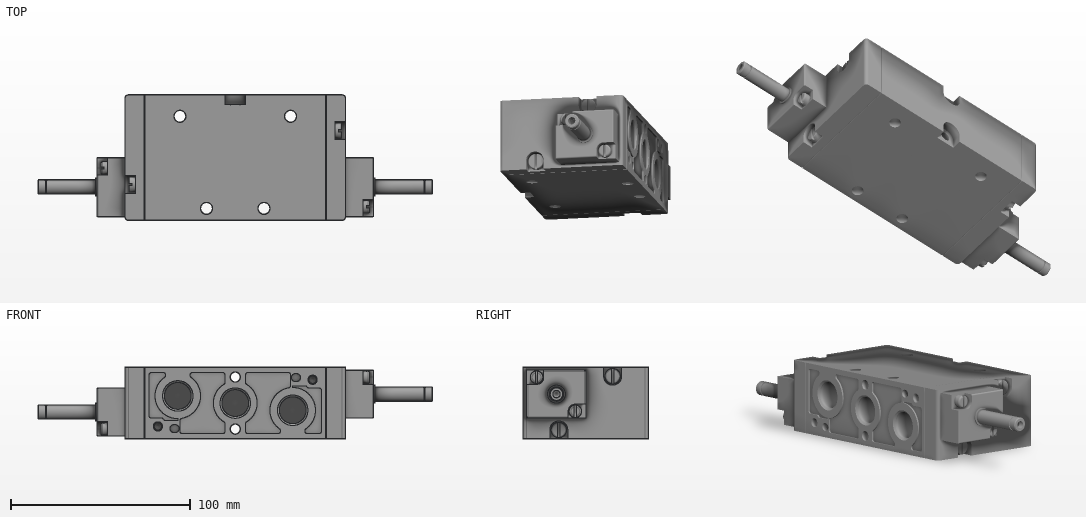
import cadquery as cq
import math


LENGTH = 220.0
DEPTH = 70.0
HEIGHT = 40.0
FRONT = -DEPTH / 2
BACK = DEPTH / 2
TOP = HEIGHT / 2

BODY_HALF = 61.5
BODY_CORNER_RADIUS = 2.0
JOINT_X = 50.45
JOINT_WIDTH = 0.5
JOINT_DEPTH = 0.4

PORT_DIAMETER = 14.95
PORT_DEPTH = 20.0
PORT_CHAMFER = 1.0
PORT_X = 32.0
PORT_Z = 4.0
PORT_CENTRES = [(-PORT_X, PORT_Z), (0.0, 0.0), (PORT_X, -PORT_Z)]

LAND_RADII = [12.7, 12.2, 12.7]
RECESS_DEPTH = 1.0
RECESS_HALF_HEIGHT = 17.0
RECESS_CORNER_RADIUS = 1.3
SELECT_MARGIN = 0.5
END_RECESS_OUTER_X = -48.0
END_RECESS_INNER_X = -38.8
END_RECESS_BOTTOM_Z = -8.4
END_RECESS_STEP_X = (-40.6, -39.4)
END_RECESS_TIP_Z = -9.6
MID_RECESS_TOP_X = -25.2
MID_RECESS_BOTTOM_X = -30.8
MID_RECESS_INNER_X = -5.7

TAPPED_HOLE_DIAMETER = 4.13
TAPPED_HOLE_DEPTH = 10.0
TAPPED_HOLE_CHAMFER = 0.5
TAPPED_HOLE_CENTRE = (-43.1, -13.0)
DRILL_POINT_ANGLE = 118.0
KEY_WIDTH = 4.4
KEY_LENGTH = 5.1
KEY_DEPTH = 3.0
KEY_CENTRE = (-33.8, -14.2)

CROSS_HOLE_DIAMETER = 5.5
CROSS_HOLE_Z = 14.5
CROSS_NOTCH_WIDTH = 11.5
CROSS_NOTCH_DEPTH = 5.5
MOUNT_HOLE_DIAMETER = 6.5
MOUNT_BACK_X = 30.8
MOUNT_BACK_Y = 23.0
MOUNT_FRONT_X = 16.0
MOUNT_FRONT_Y = -28.3

COIL_END = 77.1
COIL_BACK_Y = 0.0
COIL_FRONT_Y = -33.0
COIL_TOP_Z = 8.4
COIL_BOTTOM_Z = -18.4
COIL_EDGE_RADIUS = 0.75

TUBE_Y = -16.3
TUBE_Z = (COIL_TOP_Z + COIL_BOTTOM_Z) / 2
TUBE_DIAMETER = 8.0
TUBE_CHAMFER = 0.5
TUBE_GROOVE_DIAMETER = 7.0
TUBE_GROOVE_WIDTH = 0.8
TUBE_GROOVE_FROM_TIP = 4.2
TUBE_BORE_DIAMETER = 4.13
TUBE_BORE_DEPTH = 5.0
COLLAR_DIAMETER = 10.0
COLLAR_LENGTH = 0.8

POCKET_DEPTH = 6.0
HEAD_HEIGHT = 3.8
SLOT_WIDTH = 1.3
SLOT_DEPTH = 1.7
CAP_POCKET_DIAMETER = 10.0
CAP_HEAD_DIAMETER = 8.57
CAP_HEAD_EDGE_RADIUS = 0.5
CAP_SCREW_OFFSET = TOP - CAP_POCKET_DIAMETER / 2
CAP_SCREWS = [(-CAP_SCREW_OFFSET, CAP_SCREW_OFFSET), (CAP_SCREW_OFFSET, -CAP_SCREW_OFFSET)]
COIL_POCKET_DIAMETER = 8.0
COIL_HEAD_DIAMETER = 7.0
COIL_HEAD_EDGE_RADIUS = 1.0
COIL_SCREW_Y = (-5.8, -27.4)
COIL_SCREW_Z = (4.6, -14.4)


def box(x0, x1, y0, y1, z0, z1):
    """Box between two corners; each pair may be given in either order."""
    size = (abs(x1 - x0), abs(y1 - y0), abs(z1 - z0))
    return cq.Workplane("XY").box(*size).translate(((x0 + x1) / 2, (y0 + y1) / 2, (z0 + z1) / 2))


def rod_x(x0, length, y, z, diameter):
    """Cylinder running from x0 towards +X."""
    return cq.Workplane("YZ", origin=(x0, y, z)).circle(diameter / 2).extrude(length)


def rod_y(x, z, diameter, depth):
    """Cylinder running from the front face into the body."""
    return cq.Workplane("XZ", origin=(x, FRONT, z)).circle(diameter / 2).extrude(-depth)


def chamfered_mouth(x, z, diameter, chamfer):
    """Cone that chamfers the mouth of a hole in the front face by 45 degrees."""
    radius = diameter / 2
    return cq.Solid.makeCone(radius + chamfer, radius, chamfer, cq.Vector(x, FRONT, z), cq.Vector(0, 1, 0))


def drill_point(origin, diameter, direction):
    """Cone at the bottom of a drilled hole, pointing in the given direction."""
    height = diameter / 2 / math.tan(math.radians(DRILL_POINT_ANGLE / 2))
    return cq.Solid.makeCone(diameter / 2, 0, height, cq.Vector(*origin), cq.Vector(*direction))


def half_turn(shape):
    """Copy turned half a turn about the Y axis."""
    return shape.rotate((0, 0, 0), (0, 1, 0), 180)


def make_body():
    """Block with rounded upright corners and a shallow joint groove around it at each end cap."""
    body = box(-BODY_HALF, BODY_HALF, FRONT, BACK, -TOP, TOP)
    body = body.edges("|Z").fillet(BODY_CORNER_RADIUS)
    edge_y = DEPTH / 2 - JOINT_DEPTH
    edge_z = TOP - JOINT_DEPTH
    core = box(-BODY_HALF, BODY_HALF, -edge_y, edge_y, -edge_z, edge_z)
    for x in (-JOINT_X, JOINT_X):
        ring = box(x - JOINT_WIDTH / 2, x + JOINT_WIDTH / 2, FRONT, BACK, -TOP, TOP).cut(core)
        body = body.cut(ring)
    return body


def make_port(x, z):
    """Port bore with a chamfered mouth."""
    mouth = chamfered_mouth(x, z, PORT_DIAMETER, PORT_CHAMFER)
    return rod_y(x, z, PORT_DIAMETER, PORT_DEPTH).union(mouth)


def make_recess(points):
    """Shallow sharp-cornered recess that leaves the round port lands standing."""
    recess = cq.Workplane("XZ", origin=(0, FRONT, 0)).polyline(points).close().extrude(-RECESS_DEPTH)
    for (x, z), radius in zip(PORT_CENTRES, LAND_RADII):
        recess = recess.cut(rod_y(x, z, 2 * radius, RECESS_DEPTH))
    return recess


def make_end_recess():
    """Recess around the outer side of an end port, with its narrow tip left sharp."""
    step_outer_x, step_inner_x = END_RECESS_STEP_X
    recess = make_recess([
        (END_RECESS_OUTER_X, RECESS_HALF_HEIGHT),
        (END_RECESS_INNER_X, RECESS_HALF_HEIGHT),
        (END_RECESS_INNER_X, PORT_Z),
        (-PORT_X, PORT_Z),
        (-PORT_X, END_RECESS_TIP_Z),
        (step_inner_x, END_RECESS_TIP_Z),
        (step_outer_x, END_RECESS_BOTTOM_Z),
        (END_RECESS_OUTER_X, END_RECESS_BOTTOM_Z),
    ])
    wide_part = cq.selectors.BoxSelector(
        (END_RECESS_OUTER_X - SELECT_MARGIN, FRONT, PORT_Z),
        (END_RECESS_INNER_X + SELECT_MARGIN, FRONT + RECESS_DEPTH, RECESS_HALF_HEIGHT + SELECT_MARGIN),
    )
    outer_corners = recess.edges("|Y and <X")
    return recess.edges("|Y").edges(wide_part).add(outer_corners).fillet(RECESS_CORNER_RADIUS)


def make_middle_recess():
    """Recess between an end port and the middle port."""
    recess = make_recess([
        (MID_RECESS_TOP_X, RECESS_HALF_HEIGHT),
        (MID_RECESS_INNER_X, RECESS_HALF_HEIGHT),
        (MID_RECESS_INNER_X, -RECESS_HALF_HEIGHT),
        (MID_RECESS_BOTTOM_X, -RECESS_HALF_HEIGHT),
        (MID_RECESS_BOTTOM_X, PORT_Z),
        (MID_RECESS_TOP_X, PORT_Z),
    ])
    return recess.edges("|Y").fillet(RECESS_CORNER_RADIUS)


def make_tapped_hole():
    """Chamfered blind hole with a drill point."""
    x, z = TAPPED_HOLE_CENTRE
    mouth = chamfered_mouth(x, z, TAPPED_HOLE_DIAMETER, TAPPED_HOLE_CHAMFER)
    point = drill_point((x, FRONT + TAPPED_HOLE_DEPTH, z), TAPPED_HOLE_DIAMETER, (0, 1, 0))
    return rod_y(x, z, TAPPED_HOLE_DIAMETER, TAPPED_HOLE_DEPTH).union(mouth).union(point)


def make_key_slot():
    """Short blind slot with round ends."""
    x, z = KEY_CENTRE
    return cq.Workplane("XZ", origin=(x, FRONT, z)).slot2D(KEY_LENGTH, KEY_WIDTH).extrude(-KEY_DEPTH)


def make_cross_hole():
    """Hole through the depth, ending in a U-shaped notch open to the top and the back."""
    hole = rod_y(0, CROSS_HOLE_Z, CROSS_HOLE_DIAMETER, DEPTH)
    notch_floor_y = BACK - CROSS_NOTCH_DEPTH
    seat = cq.Workplane("XZ", origin=(0, BACK, CROSS_HOLE_Z)).circle(CROSS_NOTCH_WIDTH / 2)
    seat = seat.extrude(CROSS_NOTCH_DEPTH)
    opening = box(-CROSS_NOTCH_WIDTH / 2, CROSS_NOTCH_WIDTH / 2, notch_floor_y, BACK, CROSS_HOLE_Z, TOP)
    return hole.union(seat).union(opening)


def make_mount_holes():
    """Four mounting holes through the height."""
    points = []
    for side in (-1, 1):
        points.append((side * MOUNT_BACK_X, MOUNT_BACK_Y))
        points.append((side * MOUNT_FRONT_X, MOUNT_FRONT_Y))
    holes = cq.Workplane("XY", origin=(0, 0, -TOP)).pushPoints(points)
    return holes.circle(MOUNT_HOLE_DIAMETER / 2).extrude(HEIGHT)


def make_coil():
    """Solenoid housing on the left end, reaching to the body face."""
    coil = box(-COIL_END, -BODY_HALF, COIL_FRONT_Y, COIL_BACK_Y, COIL_BOTTOM_Z, COIL_TOP_Z)
    return coil.faces("<X").edges().fillet(COIL_EDGE_RADIUS)


def make_tube():
    """Plunger tube with a collar at its foot and a groove and a bore at its tip."""
    tip_x = -LENGTH / 2
    tube = rod_x(tip_x, LENGTH / 2 - COIL_END, TUBE_Y, TUBE_Z, TUBE_DIAMETER)
    tube = tube.faces("<X").chamfer(TUBE_CHAMFER)
    groove_x = tip_x + TUBE_GROOVE_FROM_TIP
    groove = rod_x(groove_x, TUBE_GROOVE_WIDTH, TUBE_Y, TUBE_Z, TUBE_DIAMETER)
    groove = groove.cut(rod_x(groove_x, TUBE_GROOVE_WIDTH, TUBE_Y, TUBE_Z, TUBE_GROOVE_DIAMETER))
    bore = rod_x(tip_x, TUBE_BORE_DEPTH, TUBE_Y, TUBE_Z, TUBE_BORE_DIAMETER)
    point = drill_point((tip_x + TUBE_BORE_DEPTH, TUBE_Y, TUBE_Z), TUBE_BORE_DIAMETER, (1, 0, 0))
    collar = rod_x(-COIL_END - COLLAR_LENGTH, COLLAR_LENGTH, TUBE_Y, TUBE_Z, COLLAR_DIAMETER)
    return tube.cut(groove).cut(bore).cut(point).union(collar)


def make_screw(floor_x, y, z, diameter, edge_radius):
    """Round screw head with a vertical slot, standing on a pocket floor and facing -X."""
    top_x = floor_x - HEAD_HEIGHT
    head = rod_x(top_x, HEAD_HEIGHT, y, z, diameter).faces("<X").edges().fillet(edge_radius)
    slot = box(
        top_x, top_x + SLOT_DEPTH, y - SLOT_WIDTH / 2, y + SLOT_WIDTH / 2, z - diameter / 2, z + diameter / 2
    )
    return head.cut(slot)


def add_cap_screw(valve, y, z):
    """Screw in a U-shaped pocket that opens to the nearer of the top and bottom faces."""
    radius = CAP_POCKET_DIAMETER / 2
    floor_x = -BODY_HALF + POCKET_DEPTH
    open_z = math.copysign(TOP, z)
    pocket = rod_x(-BODY_HALF, POCKET_DEPTH, y, z, CAP_POCKET_DIAMETER)
    pocket = pocket.union(box(-BODY_HALF, floor_x, y - radius, y + radius, z, open_z))
    return valve.cut(pocket).union(make_screw(floor_x, y, z, CAP_HEAD_DIAMETER, CAP_HEAD_EDGE_RADIUS))


def add_coil_screw(valve, y, z, corner_y, corner_z):
    """Screw in a pocket that cuts away one corner of the solenoid housing."""
    radius = COIL_POCKET_DIAMETER / 2
    floor_x = -COIL_END + POCKET_DEPTH
    inner_y = y - math.copysign(radius, corner_y - y)
    inner_z = z - math.copysign(radius, corner_z - z)
    pocket = rod_x(-COIL_END, POCKET_DEPTH, y, z, COIL_POCKET_DIAMETER)
    pocket = pocket.union(box(-COIL_END, floor_x, inner_y, corner_y, z, corner_z))
    pocket = pocket.union(box(-COIL_END, floor_x, y, corner_y, inner_z, corner_z))
    return valve.cut(pocket).union(make_screw(floor_x, y, z, COIL_HEAD_DIAMETER, COIL_HEAD_EDGE_RADIUS))


def make_end():
    """Solenoid of the left end with its tube and screws."""
    end = make_coil()
    corners = [(COIL_BACK_Y, COIL_TOP_Z), (COIL_FRONT_Y, COIL_BOTTOM_Z)]
    for y, z, corner in zip(COIL_SCREW_Y, COIL_SCREW_Z, corners):
        end = add_coil_screw(end, y, z, *corner)
    return end.union(make_tube())


def make_valve():
    """Body with its ports, holes and recesses, then both solenoid ends."""
    valve = make_body().cut(make_mount_holes())
    for x, z in PORT_CENTRES:
        valve = valve.cut(make_port(x, z))
    cuts = [make_end_recess(), make_middle_recess(), make_tapped_hole(), make_key_slot(), make_cross_hole()]
    for cut in cuts:
        valve = valve.cut(cut).cut(half_turn(cut))
    for _ in range(2):
        for y, z in CAP_SCREWS:
            valve = add_cap_screw(valve, y, z)
        valve = half_turn(valve.union(make_end()))
    return valve


result = make_valve()